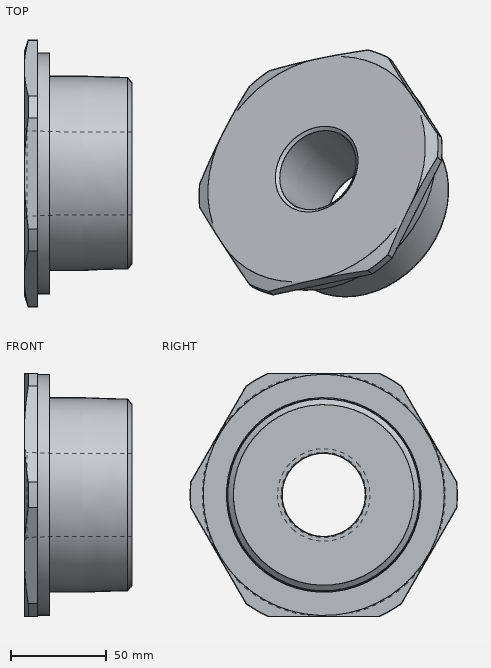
import cadquery as cq
import math

across_flats = 127.0
across_corners = 139.6
head_thickness = 7.0
corner_chamfer_length = 2.1

collar_diameter = 126.0
collar_length = 6.3
plug_diameter = 101.7
straight_length = 17.6
total_length = 56.4
end_chamfer_length = 2.5
end_chamfer_radial = 3.0

taper = 1 / 32

bore_diameter = 43.4
bore_taper_end = 19.8
mouth_diameter = 48.3
mouth_depth = 1.4


def turned(profile):
    """Revolve a closed (x, radius) profile about the X axis."""
    return cq.Workplane("XY").polyline(profile).close().revolve(360, (0, 0, 0), (1, 0, 0))


def make_head():
    sharp_corners = across_flats / math.cos(math.pi / 6)
    hexagon = cq.Workplane("YZ").polygon(6, sharp_corners).extrude(head_thickness)
    envelope = turned([
        (0, 0),
        (0, across_flats / 2),
        (corner_chamfer_length, across_corners / 2),
        (head_thickness, across_corners / 2),
        (head_thickness, 0),
    ])
    return hexagon.intersect(envelope)


def make_plug():
    collar_end = head_thickness + collar_length
    taper_start = collar_end + straight_length
    chamfer_start = total_length - end_chamfer_length
    tapered_radius = plug_diameter / 2 - taper * (chamfer_start - taper_start)
    return turned([
        (head_thickness, 0),
        (head_thickness, collar_diameter / 2),
        (collar_end, collar_diameter / 2),
        (collar_end, plug_diameter / 2),
        (taper_start, plug_diameter / 2),
        (chamfer_start, tapered_radius),
        (total_length, tapered_radius - end_chamfer_radial),
        (total_length, 0),
    ])


def make_bore():
    bore_radius = bore_diameter / 2
    taper_mouth_radius = bore_radius + taper * (bore_taper_end - mouth_depth)
    return turned([
        (0, 0),
        (0, mouth_diameter / 2),
        (mouth_depth, taper_mouth_radius),
        (bore_taper_end, bore_radius),
        (total_length, bore_radius),
        (total_length, 0),
    ])


result = make_head().union(make_plug()).cut(make_bore())